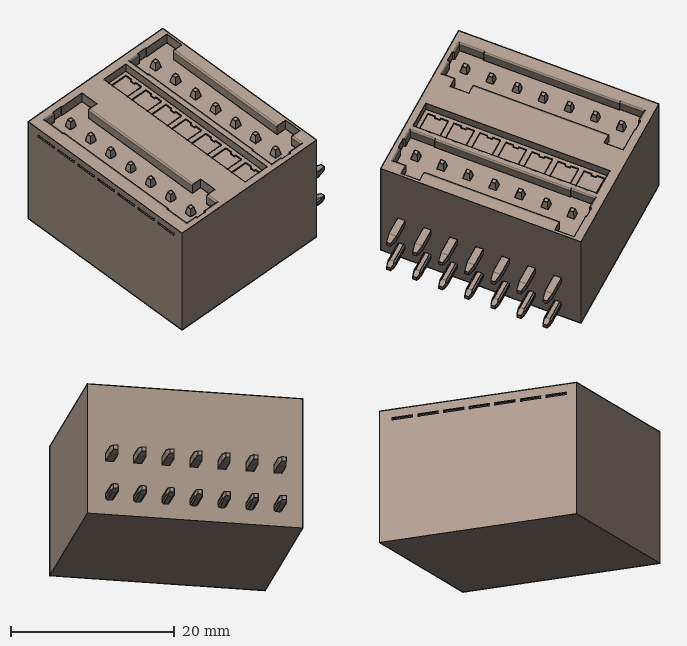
import cadquery as cq

WIDTH = 26.9
DEPTH = 23.0
HEIGHT = 16.8

POLES = 7
PITCH = 3.5
ROW_CENTRE_X = 0.15
REAR_ROW_Y = 18.72
ROW_SPACING = 14.5
POLE_X = [ROW_CENTRE_X + (i - (POLES - 1) / 2) * PITCH for i in range(POLES)]

POCKET_DEPTH = 1.48
POCKET_HALF_LENGTH = 12.35
POCKET_FRONT = -2.47
POCKET_BACK = 2.5
RIM_RADIUS = 0.2
TAB_BACK = 3.93
LEFT_TAB = (-12.37, -9.8)
RIGHT_TAB = (8.37, 10.87)
NOTCH_HALF_LENGTH = 12.65
NOTCH_FRONT = -0.97
NOTCH_BACK = 0.45
RIB = (-9.0, 9.23)
RIB_THICKNESS = 0.1

TROUGH_LENGTH = 24.72
TROUGH_WIDTH = 3.77
TROUGH_DEPTH = 1.25
TROUGH_Y = 13.58
WINDOW_LENGTH = 2.75
WINDOW_WIDTH = 2.8
WINDOW_DEPTH = 0.15
KEY_LENGTH = 0.7
KEY_WIDTH = 0.25

SLOT_LENGTH = WINDOW_LENGTH
SLOT_HEIGHT = 0.3
SLOT_DEPTH = 0.4
SLOT_TOP_GAP = 1.08

PIN_SIZE = 1.0
FRONT_TAIL_CHAMFER = 0.22
FRONT_STUB_CHAMFER = 0.1
PIN_TIP = 0.55
STUB_HEIGHT = 1.08
TAIL_LENGTH = 3.8
REAR_TAIL_TAPER = 1.18
FRONT_TAIL_TAPER = 0.97
REAR_TAIL_Z = 7.42
FRONT_TAIL_Z = 2.4
EMBED = 0.27


def block(x_range, y_range, z_range):
    """Box spanning the given (low, high) ranges."""
    return cq.Workplane("XY").box(
        x_range[1] - x_range[0],
        y_range[1] - y_range[0],
        z_range[1] - z_range[0],
        centered=False,
    ).translate((x_range[0], y_range[0], z_range[0]))


def around(centre, size):
    """Range of the given size about a centre."""
    return (centre - size / 2, centre + size / 2)


def cut_header_pocket(body, row_y):
    """Cut one header pocket with its rounded rim, rear tabs, end notches and front rib."""
    floor = HEIGHT - POCKET_DEPTH
    z_range = (floor, HEIGHT)
    front = row_y + POCKET_FRONT
    back = row_y + POCKET_BACK
    left = ROW_CENTRE_X - POCKET_HALF_LENGTH
    right = ROW_CENTRE_X + POCKET_HALF_LENGTH

    body = body.cut(block((left, right), (front, back), z_range))
    rim = cq.selectors.BoxSelector(
        (left - RIM_RADIUS, front - RIM_RADIUS, HEIGHT - RIM_RADIUS),
        (right + RIM_RADIUS, back + RIM_RADIUS, HEIGHT + RIM_RADIUS),
    )
    body = body.edges(rim).fillet(RIM_RADIUS)

    rib = block(RIB, (front - RIM_RADIUS, front + RIB_THICKNESS), z_range)
    body = body.union(rib.edges(">Y and >Z").fillet(RIM_RADIUS))

    for tab in (LEFT_TAB, RIGHT_TAB):
        body = body.cut(block(tab, (row_y, row_y + TAB_BACK), z_range))
    notch_x = around(ROW_CENTRE_X, 2 * NOTCH_HALF_LENGTH)
    return body.cut(block(notch_x, (row_y + NOTCH_FRONT, row_y + NOTCH_BACK), z_range))


def cut_indicator_trough(body):
    """Cut the trough and the keyed windows in its floor."""
    floor = HEIGHT - TROUGH_DEPTH
    trough_y = around(TROUGH_Y, TROUGH_WIDTH)
    body = body.cut(block(around(ROW_CENTRE_X, TROUGH_LENGTH), trough_y, (floor, HEIGHT)))
    z_range = (floor - WINDOW_DEPTH, floor)
    for x in POLE_X:
        window = block(around(x, WINDOW_LENGTH), around(TROUGH_Y, WINDOW_WIDTH), z_range)
        for side in (-1, 1):
            key_y = TROUGH_Y + side * (WINDOW_WIDTH - KEY_WIDTH) / 2
            window = window.cut(block(around(x, KEY_LENGTH), around(key_y, KEY_WIDTH), z_range))
        body = body.cut(window)
    return body


def cut_front_slots(body):
    """Cut one narrow slot per pole into the front face."""
    slot_top = HEIGHT - SLOT_TOP_GAP
    z_range = (slot_top - SLOT_HEIGHT, slot_top)
    for x in POLE_X:
        body = body.cut(block(around(x, SLOT_LENGTH), (0, SLOT_DEPTH), z_range))
    return body


def make_pin(length, taper, chamfer=None):
    """Square pin rising from Z = 0 with a tapered tip and a root that embeds below Z = 0."""
    shank_top = length - taper
    shank = cq.Workplane("XY").workplane(offset=-EMBED).rect(PIN_SIZE, PIN_SIZE).extrude(EMBED + shank_top)
    tip = (
        cq.Workplane("XY").workplane(offset=shank_top).rect(PIN_SIZE, PIN_SIZE)
        .workplane(offset=taper).rect(PIN_TIP, PIN_TIP).loft(ruled=True)
    )
    pin = shank.union(tip)
    if chamfer is not None:
        bar = cq.Workplane("XY").workplane(offset=-EMBED).rect(PIN_SIZE, PIN_SIZE).extrude(EMBED + length)
        pin = pin.intersect(bar.edges("|Z").chamfer(chamfer))
    return pin


def add_contact_row(body, row_y, tail_z, tail_taper, stub_chamfer=None, tail_chamfer=None):
    """Add the stubs on a pocket floor and the solder tails on the back face."""
    stub = make_pin(STUB_HEIGHT, STUB_HEIGHT, stub_chamfer)
    tail = make_pin(TAIL_LENGTH, tail_taper, tail_chamfer).rotate((0, 0, 0), (1, 0, 0), -90)
    for x in POLE_X:
        body = body.union(stub.translate((x, row_y, HEIGHT - POCKET_DEPTH)))
        body = body.union(tail.translate((x, DEPTH, tail_z)))
    return body


front_row_y = REAR_ROW_Y - ROW_SPACING

housing = block(around(0, WIDTH), (0, DEPTH), (0, HEIGHT))
for pocket_row_y in (front_row_y, REAR_ROW_Y):
    housing = cut_header_pocket(housing, pocket_row_y)
housing = cut_indicator_trough(housing)
housing = cut_front_slots(housing)

housing = add_contact_row(housing, REAR_ROW_Y, REAR_TAIL_Z, REAR_TAIL_TAPER)
result = add_contact_row(
    housing, front_row_y, FRONT_TAIL_Z, FRONT_TAIL_TAPER, FRONT_STUB_CHAMFER, FRONT_TAIL_CHAMFER
)